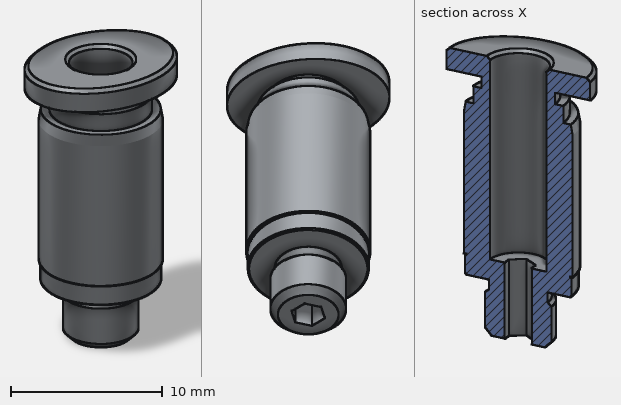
import cadquery as cq
import math

tip_chamfer = 0.5
thread_top = 3.08
neck_bottom = 3.32
stem_top = 4.0
collar_top = 5.5
sleeve_shoulder = 15.7
sleeve_top = 16.48
ring_top = 17.7
head_bottom = 18.5
height = 20.1

thread_diameter = 5.0
neck_diameter = 4.45
collar_diameter = 8.0
sleeve_diameter = 8.2
sleeve_top_diameter = 7.92
ring_diameter = 6.8
release_stem_diameter = 5.55
collar_chamfer = 0.1

head_width = 8.6
head_length = 10.8
head_chamfer = 0.26

bore_diameter = 4.2
bore_chamfer = 0.25
bore_floor = collar_top
hex_across_flats = 1.99


def turned_body():
    """Stem, collar, sleeve, ring and release stem revolved about Z."""
    thread_radius = thread_diameter / 2
    neck_radius = neck_diameter / 2
    collar_radius = collar_diameter / 2
    sleeve_radius = sleeve_diameter / 2
    ring_radius = ring_diameter / 2
    release_stem_radius = release_stem_diameter / 2
    half_section = [
        (0, 0),
        (thread_radius - tip_chamfer, 0),
        (thread_radius, tip_chamfer),
        (thread_radius, thread_top),
        (neck_radius, neck_bottom),
        (neck_radius, stem_top),
        (collar_radius - collar_chamfer, stem_top),
        (collar_radius, stem_top + collar_chamfer),
        (collar_radius, collar_top - collar_chamfer),
        (collar_radius - collar_chamfer, collar_top),
        (sleeve_radius, collar_top),
        (sleeve_radius, sleeve_shoulder),
        (sleeve_top_diameter / 2, sleeve_top),
        (ring_radius, sleeve_top),
        (ring_radius, ring_top),
        (release_stem_radius, ring_top),
        (release_stem_radius, head_bottom),
        (0, head_bottom),
    ]
    return cq.Workplane("XZ").polyline(half_section).close().revolve(360, (0, 0), (0, 1))


def oval_head():
    """Elliptical push head with a chamfered top rim."""
    plate = (
        cq.Workplane("XY", origin=(0, 0, head_bottom))
        .ellipse(head_width / 2, head_length / 2)
        .extrude(height - head_bottom)
    )
    return plate.faces(">Z").edges().chamfer(head_chamfer)


def tube_bore():
    """Blind bore from the top face with a conical lead-in."""
    radius = bore_diameter / 2
    half_section = [
        (0, bore_floor),
        (radius, bore_floor),
        (radius, height - bore_chamfer),
        (radius + bore_chamfer, height),
        (0, height),
    ]
    return cq.Workplane("XZ").polyline(half_section).close().revolve(360, (0, 0), (0, 1))


def hex_socket():
    """Hexagonal passage from the stem tip to the bore, corners on the X axis."""
    across_corners = hex_across_flats / math.cos(math.pi / 6)
    return cq.Workplane("XY").polygon(6, across_corners).extrude(bore_floor)


result = turned_body().union(oval_head()).cut(tube_bore()).cut(hex_socket())